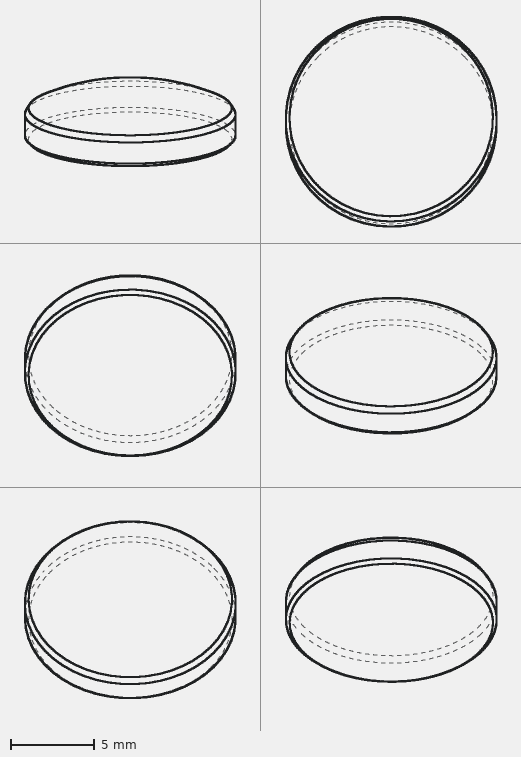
import cadquery as cq
import math

diameter = 12.7
total_height = 3.35

bevel_inset = 0.23
bottom_bevel_height = 0.23
rim_top = 1.55
dome_base = 1.93

rim_radius = diameter / 2
bevel_radius = rim_radius - bevel_inset

dome_height = total_height - dome_base
sphere_radius = (bevel_radius**2 + dome_height**2) / (2 * dome_height)
sphere_center_z = total_height - sphere_radius

half_angle = math.asin(bevel_radius / sphere_radius) / 2
dome_mid = (
    sphere_radius * math.sin(half_angle),
    sphere_center_z + sphere_radius * math.cos(half_angle),
)

section = (
    cq.Workplane("YZ")
    .moveTo(0, 0)
    .lineTo(-bevel_radius, 0)
    .lineTo(-rim_radius, bottom_bevel_height)
    .lineTo(-rim_radius, rim_top)
    .lineTo(-bevel_radius, dome_base)
    .threePointArc((-dome_mid[0], dome_mid[1]), (0, total_height))
    .close()
)

result = section.revolve(360, (0, 0, 0), (0, 1, 0))